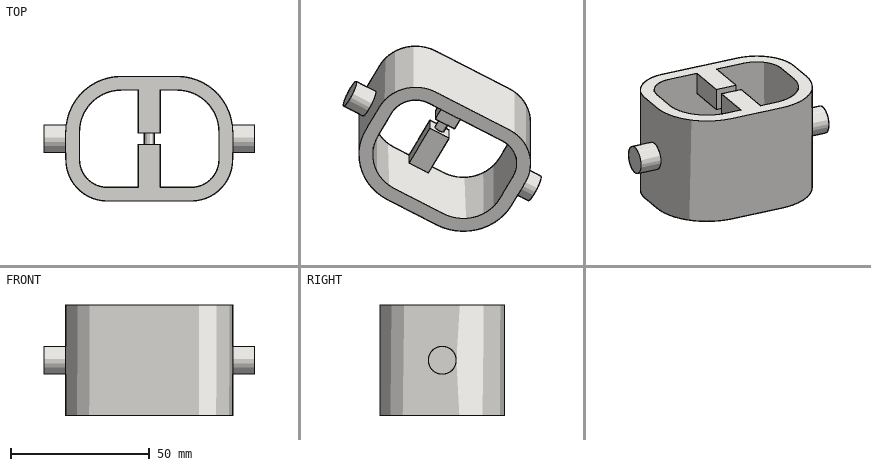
import cadquery as cq

total_length = 76.0
body_length = 60.2
body_width = 45.0
body_height = 40.0
wall = 5.0
front_radius = 15.0
back_radius = 20.0

trunnion_diameter = 10.0

arm_width = 8.0
arm_height = 8.0
arm_gap = 4.0
pin_diameter = 3.7


def rounded_block(inset):
    """Body outline moved inward by inset, with larger corners at the back (+Y)."""
    return (
        cq.Workplane("XY")
        .box(body_length - 2 * inset, body_width - 2 * inset, body_height)
        .edges("|Z and <Y").fillet(front_radius - inset)
        .edges("|Z and >Y").fillet(back_radius - inset)
    )


def cylinder_along(plane, diameter, length, height=0.0):
    """Cylinder centred on the body and normal to the plane, at the given height."""
    return (
        cq.Workplane(plane, origin=(0, 0, height))
        .workplane(offset=-length / 2)
        .circle(diameter / 2)
        .extrude(length)
    )


outer_block = rounded_block(0)
trunnions = cylinder_along("YZ", trunnion_diameter, total_length)
body = outer_block.union(trunnions).cut(rounded_block(wall))

arm_z = (body_height - arm_height) / 2
arm_span = body_width - wall
arms = cq.Workplane("XY").box(arm_width, arm_span, arm_height)
gap = cq.Workplane("XY").box(arm_width, arm_gap, arm_height)
arms = arms.cut(gap).translate((0, 0, arm_z))

pin = cylinder_along("XZ", pin_diameter, arm_span, arm_z)

result = body.union(arms).union(pin)